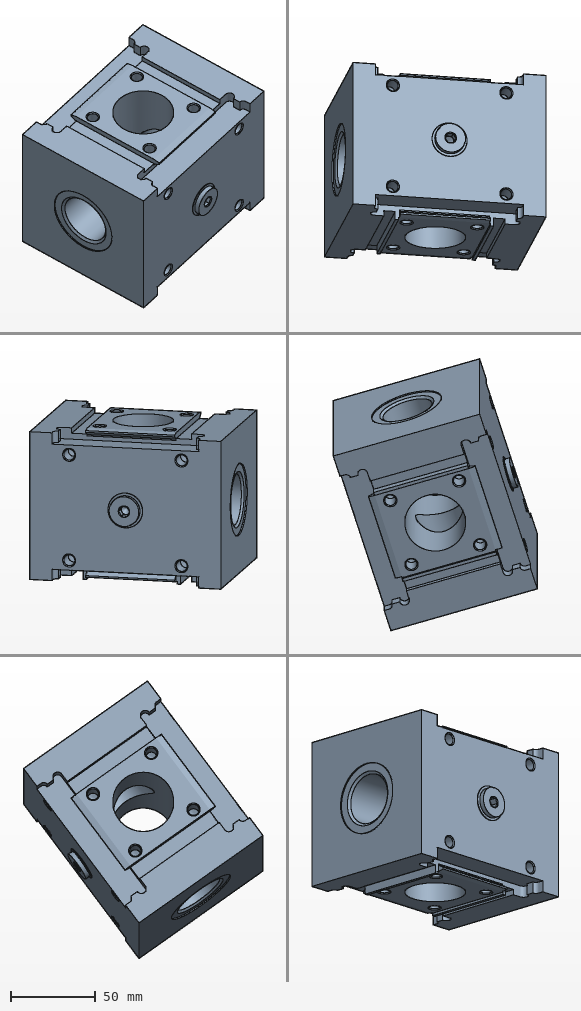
import cadquery as cq
import math

LENGTH = 116.0
WIDTH = 90.5
HEIGHT = 89.3
HALF_WIDTH = WIDTH / 2
HALF_LENGTH = LENGTH / 2
HALF_HEIGHT = HEIGHT / 2

PAD_HALF_WIDTH = 29.0
SIDE_POCKET_DEPTH = 6.8
CROSS_GROOVE_DEPTH = 3.2
CROSS_GROOVE_HALF_LENGTH = 36.4
POCKET_HALF_LENGTH = 44.5
STEP_HALF_LENGTH = 42.0
STEP_X = 39.5
CORNER_RADIUS = POCKET_HALF_LENGTH - STEP_HALF_LENGTH
RELIEF_RADIUS = 2.9

PAD_HALF_LENGTH = 27.0
PAD_RISE = 0.3
TONGUE_REACH = 4.0
TONGUE_BEVEL_DROP = 0.7
TONGUE_EDGE_DROP = 1.0
UNDERCUT_DROP = 2.1
ROOT_DROP = 0.9
ROOT_REACH = 0.3

RIB_RISE = 1.9
RIB_OUTER_Y = 29.6
RIB_INNER_Y = 27.6

CROSS_BORE_DIAMETER = 36.0
MAIN_BORE_DIAMETER = 30.3
MOUTH_DIAMETER = 33.4
MOUTH_CHAMFER_DEPTH = 1.3
SPOT_FACE_DIAMETER = 43.0
SPOT_FACE_DEPTH = 0.8

SCREW_DIAMETER = 6.6
SCREW_MOUTH_DIAMETER = 7.9
SCREW_DEPTH = 11.6
SCREW_POINT_ANGLE = 140.0
PAD_SCREW_OFFSET = 21.2
SIDE_SCREW_Y = 34.1
SIDE_SCREW_Z = 31.9

PLUG_HEAD_DIAMETER = 18.0
PLUG_RISE = 3.2
PLUG_HEAD_GAP = 0.2
PLUG_SHANK_DIAMETER = 13.1
PLUG_HOLE_DEPTH = 7.0
PLUG_SPOT_FACE_DIAMETER = 21.0
PLUG_SPOT_FACE_DEPTH = 0.3
SOCKET_MOUTH_DIAMETER = 7.0
SOCKET_FLATS = 5.7
SOCKET_DEPTH = 5.2
SOCKET_POINT_ANGLE = 90.0

SIGNS = (-1, 1)
CORNERS = [(a, b) for a in SIGNS for b in SIGNS]



def on_top(shape):
    return shape.translate((0, 0, HALF_HEIGHT))


def on_bottom(shape):
    return shape.rotate((0, 0, 0), (0, 1, 0), 180).translate((0, 0, -HALF_HEIGHT))


def on_side(shape, side):
    """Move a feature to the +X face (side 1) or the -X face (side -1)."""
    return shape.rotate((0, 0, 0), (0, 1, 0), side * 90).translate((side * HALF_WIDTH, 0, 0))



def turned(profile):
    """Solid of revolution about Z from a list of (radius, z) points."""
    return cq.Workplane("XZ").polyline(profile).close().revolve(360, (0, 0), (0, 1))


def disc(diameter, height):
    return cq.Workplane("XY").circle(diameter / 2).extrude(height)


def slab(half_x, half_y, bottom, top):
    sketch = cq.Workplane("XY").workplane(offset=bottom).rect(2 * half_x, 2 * half_y)
    return sketch.extrude(top - bottom)


def point_depth(radius, angle):
    """Depth of a drill point of the given radius and included angle in degrees."""
    return radius / math.tan(math.radians(angle / 2))



def side_pocket():
    """Deep strip between the pad wall and the +X face, with relieved inner corners."""
    arc_start_x = STEP_X + CORNER_RADIUS
    arc_offset = CORNER_RADIUS * math.sqrt(0.5)
    arc_middle_x = arc_start_x - arc_offset
    arc_middle_y = STEP_HALF_LENGTH + arc_offset
    relief_x = PAD_HALF_WIDTH + RELIEF_RADIUS
    relief_outer_x = relief_x + RELIEF_RADIUS
    relief_end_y = STEP_HALF_LENGTH + RELIEF_RADIUS
    outline = (
        cq.Workplane("XY")
        .moveTo(HALF_WIDTH, -POCKET_HALF_LENGTH)
        .lineTo(HALF_WIDTH, POCKET_HALF_LENGTH)
        .lineTo(arc_start_x, POCKET_HALF_LENGTH)
        .threePointArc((arc_middle_x, arc_middle_y), (STEP_X, STEP_HALF_LENGTH))
        .lineTo(relief_outer_x, STEP_HALF_LENGTH)
        .threePointArc((relief_x, relief_end_y), (PAD_HALF_WIDTH, STEP_HALF_LENGTH))
        .lineTo(PAD_HALF_WIDTH, -STEP_HALF_LENGTH)
        .threePointArc((relief_x, -relief_end_y), (relief_outer_x, -STEP_HALF_LENGTH))
        .lineTo(STEP_X, -STEP_HALF_LENGTH)
        .threePointArc((arc_middle_x, -arc_middle_y), (arc_start_x, -POCKET_HALF_LENGTH))
        .close()
    )
    return outline.extrude(-SIDE_POCKET_DEPTH)


def clamp_recess():
    """Everything cut away around a pad: the cross groove and both side pockets."""
    groove = slab(PAD_HALF_WIDTH, CROSS_GROOVE_HALF_LENGTH, -CROSS_GROOVE_DEPTH, 0)
    pocket = side_pocket()
    return groove.union(pocket).union(pocket.mirror("YZ"))



def pad():
    """Pad with a dovetail tongue along both sides."""
    tip_x = PAD_HALF_WIDTH + TONGUE_REACH
    edge_top = PAD_RISE - TONGUE_BEVEL_DROP
    edge_bottom = edge_top - TONGUE_EDGE_DROP
    root_top = edge_bottom - UNDERCUT_DROP
    root_bottom = root_top - ROOT_DROP
    right_side = [
        (PAD_HALF_WIDTH, PAD_RISE),
        (tip_x, edge_top),
        (tip_x, edge_bottom),
        (PAD_HALF_WIDTH + ROOT_REACH, root_top),
        (PAD_HALF_WIDTH, root_bottom),
    ]
    left_side = [(-x, z) for x, z in reversed(right_side)]
    return cq.Workplane("XZ").polyline(right_side + left_side).close().extrude(PAD_HALF_LENGTH, both=True)


def pad_ribs():
    """Ribs across both ends of the bottom pad, joined to it by a plinth at pad height."""
    block = slab(PAD_HALF_WIDTH, RIB_OUTER_Y, -CROSS_GROOVE_DEPTH, RIB_RISE)
    return block.cut(slab(PAD_HALF_WIDTH, RIB_INNER_Y, PAD_RISE, RIB_RISE))



def screw_hole():
    """Chamfered blind hole with a drill point."""
    radius = SCREW_DIAMETER / 2
    mouth_radius = SCREW_MOUTH_DIAMETER / 2
    return turned([
        (0, 0),
        (mouth_radius, 0),
        (radius, radius - mouth_radius),
        (radius, -SCREW_DEPTH),
        (0, -SCREW_DEPTH - point_depth(radius, SCREW_POINT_ANGLE)),
    ])


def main_bore():
    """Bore along Y with a chamfered mouth and a shallow spot face at both ends."""
    face_y = HALF_LENGTH - SPOT_FACE_DEPTH
    chamfer_y = face_y - MOUTH_CHAMFER_DEPTH
    front_half = [
        (0, -HALF_LENGTH),
        (SPOT_FACE_DIAMETER / 2, -HALF_LENGTH),
        (SPOT_FACE_DIAMETER / 2, -face_y),
        (MOUTH_DIAMETER / 2, -face_y),
        (MAIN_BORE_DIAMETER / 2, -chamfer_y),
    ]
    back_half = [(radius, -y) for radius, y in reversed(front_half)]
    return turned(front_half + back_half).rotate((0, 0, 0), (1, 0, 0), 90)


def plug_hole():
    """Blind hole for a plug, with a shallow spot face around it."""
    spot_face = disc(PLUG_SPOT_FACE_DIAMETER, -PLUG_SPOT_FACE_DEPTH)
    return spot_face.union(disc(PLUG_SHANK_DIAMETER, -PLUG_HOLE_DEPTH))



def make_housing():
    body = cq.Workplane("XY").box(WIDTH, LENGTH, HEIGHT)
    for place in (on_top, on_bottom):
        body = body.cut(place(clamp_recess())).union(place(pad()))
    body = body.union(on_bottom(pad_ribs()))

    body = body.cut(disc(CROSS_BORE_DIAMETER, 2 * HEIGHT).translate((0, 0, -HEIGHT)))
    body = body.cut(main_bore())

    for x, y in CORNERS:
        hole = screw_hole().translate((x * PAD_SCREW_OFFSET, y * PAD_SCREW_OFFSET, PAD_RISE))
        body = body.cut(on_top(hole)).cut(on_bottom(hole))

    for side in SIGNS:
        body = body.cut(on_side(plug_hole(), side))
        for y, z in CORNERS:
            hole = on_side(screw_hole(), side)
            body = body.cut(hole.translate((0, y * SIDE_SCREW_Y, z * SIDE_SCREW_Z)))
    return body


def hex_socket():
    """Hexagon socket with a conical mouth and a conical bottom; two corners point along Y."""
    mouth_radius = SOCKET_MOUTH_DIAMETER / 2
    flat_radius = SOCKET_FLATS / 2
    corner_diameter = 2 * SOCKET_FLATS / math.sqrt(3)
    hexagon = cq.Workplane("XY").polygon(6, corner_diameter).extrude(-SOCKET_DEPTH)
    hexagon = hexagon.rotate((0, 0, 0), (0, 0, 1), 90)
    mouth = turned([(0, 0), (mouth_radius, 0), (0, -mouth_radius)])
    point = turned([
        (0, -SOCKET_DEPTH),
        (flat_radius, -SOCKET_DEPTH),
        (0, -SOCKET_DEPTH - point_depth(flat_radius, SOCKET_POINT_ANGLE)),
    ])
    return hexagon.union(mouth).union(point)


def make_plug(side):
    """Plug whose shank fills its hole and whose head stands just clear of the side face."""
    shank = disc(PLUG_SHANK_DIAMETER, PLUG_HOLE_DEPTH + PLUG_RISE).translate((0, 0, -PLUG_HOLE_DEPTH))
    head = disc(PLUG_HEAD_DIAMETER, PLUG_RISE - PLUG_HEAD_GAP).translate((0, 0, PLUG_HEAD_GAP))
    body = shank.union(head)
    body = body.cut(hex_socket().translate((0, 0, PLUG_RISE)))
    return on_side(body, side)


housing = make_housing()
plugs = [make_plug(side) for side in SIGNS]
result = cq.Compound.makeCompound([housing.val(), *[plug.val() for plug in plugs]])